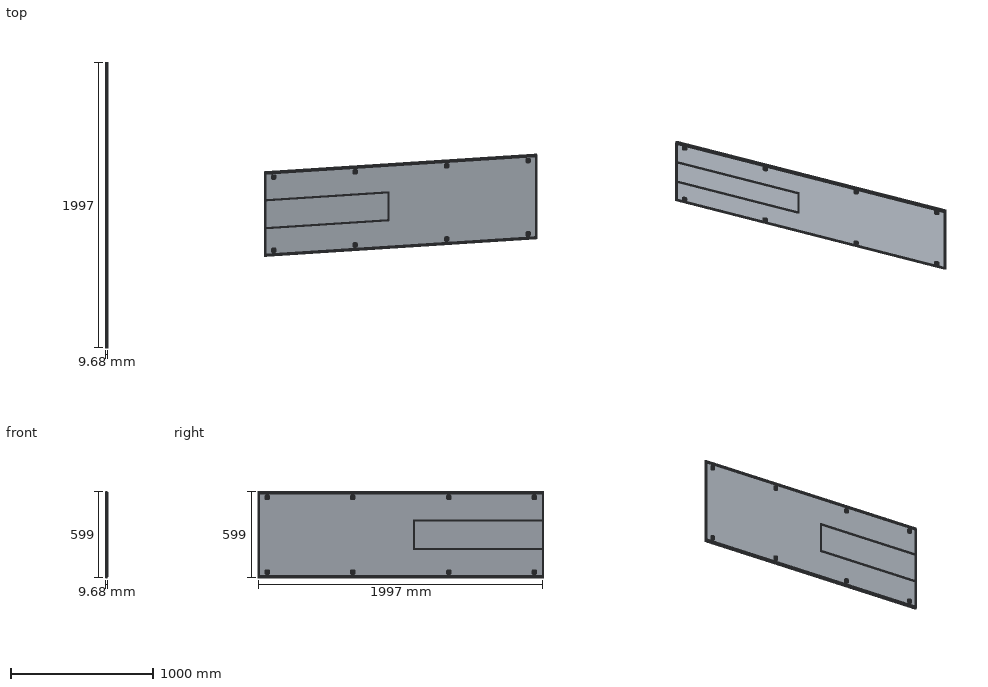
import cadquery as cq
import math


depth = 9.68
length = 1997.0
height = 599.04
sheet = 2.0
flare_angle = math.radians(45)

dimple_base_radius = 13.0
dimple_top_radius = 6.5
screw_hole_radius = 3.25
dimple_y = (-937.5, -337.5, 337.5, 937.5)
dimple_z = (-262.3, 262.3)

label_height = 200.0
label_start_y = 91.0
label_depth = 0.2

back_x = depth / 2
rim_x = -depth / 2
panel_front_x = back_x - sheet
half_height = height / 2
flare_outer_tip_x = rim_x + sheet * math.sin(flare_angle)
flare_inner_tip_z = half_height - sheet * math.cos(flare_angle)
bend_outer_z = half_height - (back_x - flare_outer_tip_x) / math.tan(flare_angle)
skin_shift = sheet * math.tan(flare_angle / 2)
bend_inner_z = bend_outer_z - skin_shift


def mirrored_profile(upper_points):
    """Closed XZ profile from its upper half, listed from the back to the front."""
    lower_points = [(x, -z) for x, z in reversed(upper_points)]
    return cq.Workplane("XZ").polyline(upper_points + lower_points).close()


def flared_panel():
    upper_points = [
        (back_x, bend_outer_z),
        (flare_outer_tip_x, half_height),
        (rim_x, flare_inner_tip_z),
        (panel_front_x, bend_inner_z),
    ]
    return mirrored_profile(upper_points).extrude(length / 2, both=True)


def end_wall():
    """Upright wall that closes the tray, centred on the XZ plane."""
    upper_points = [
        (back_x, bend_outer_z),
        (flare_outer_tip_x, half_height),
        (rim_x, flare_inner_tip_z),
    ]
    return mirrored_profile(upper_points).extrude(sheet / 2, both=True)


def cone_frustum(base_x, base_radius, top_radius):
    """45-degree cone frustum about the X axis, narrowing toward -X."""
    top_x = base_x - (base_radius - top_radius) / math.tan(flare_angle)
    outline = [(base_x, 0), (base_x, base_radius), (top_x, top_radius), (top_x, 0)]
    return cq.Workplane("XY").polyline(outline).close().revolve(360, (0, 0, 0), (1, 0, 0))


def dimple_recess():
    """Hollow behind a dimple together with its screw hole."""
    hollow = cone_frustum(back_x, dimple_base_radius - skin_shift, dimple_top_radius - skin_shift)
    hole = cq.Workplane("YZ").circle(screw_hole_radius).extrude(depth / 2, both=True)
    return hollow.union(hole)


def label_field():
    label_length = length / 2 - label_start_y
    return (
        cq.Workplane("XY")
        .box(label_depth, label_length, label_height, centered=(False, False, True))
        .translate((back_x - label_depth, label_start_y, 0))
    )


result = flared_panel()

wall_center_y = (length - sheet) / 2
for y in (-wall_center_y, wall_center_y):
    result = result.union(end_wall().translate((0, y, 0)))

dimple = cone_frustum(panel_front_x, dimple_base_radius, dimple_top_radius)
recess = dimple_recess()
for y in dimple_y:
    for z in dimple_z:
        result = result.union(dimple.translate((0, y, z))).cut(recess.translate((0, y, z)))

result = result.cut(label_field())